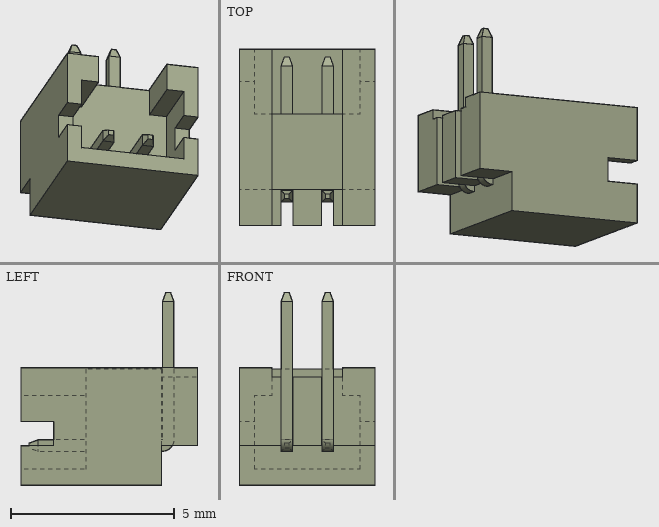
import cadquery as cq


width = 4.15
depth = 5.4
housing_height = 3.6
step_depth = 1.1
step_height = 1.215

wall = 0.99
channel_width = width - 2 * wall
block_top = 3.56
shelf_top = 3.31

socket_front = 3.405
socket_floor = 0.5
side_recess = 0.535
recess_top = 2.75
notch_depth = 1.0
notch_top = 1.945

pin_size = 0.355
pin_pitch = 1.25
pin_top = 5.9
pin_front = 0.72
pin_back = pin_front + pin_size
pin_bottom = 1.04
pin_rear = 5.155
taper_length = 0.285
tip_size = 0.15
slot_clearance = 0.01


def box(x_range, y_range, z_range):
    """Make a box from its limits along each axis."""
    sizes = [high - low for low, high in (x_range, y_range, z_range)]
    corner = (x_range[0], y_range[0], z_range[0])
    return cq.Workplane("XY").box(*sizes, centered=False).translate(corner)


def centred_box(x_size, y_range, z_range):
    """Make a box centred across the width."""
    return box((-x_size / 2, x_size / 2), y_range, z_range)


def make_housing():
    body = centred_box(width, (0, depth), (0, housing_height))
    body = body.cut(centred_box(width, (0, step_depth), (0, step_height)))

    body = body.cut(centred_box(channel_width, (0, depth), (block_top, housing_height)))
    body = body.cut(centred_box(channel_width, (0, step_depth), (shelf_top, housing_height)))

    socket = (socket_front, depth)
    body = body.cut(centred_box(channel_width, socket, (socket_floor, housing_height)))
    recess_width = channel_width + 2 * side_recess
    body = body.cut(centred_box(recess_width, socket, (socket_floor, recess_top)))

    body = body.cut(centred_box(width, (depth - notch_depth, depth), (step_height, notch_top)))

    slot_outer = (pin_pitch + pin_size) / 2
    slot_inner = slot_outer - pin_size - slot_clearance
    for x_range in ((-slot_outer, -slot_inner), (slot_inner, slot_outer)):
        body = body.cut(box(x_range, (0, step_depth), (step_height, housing_height)))
    return body


def taper(plane):
    """Make a square pin tip that narrows along the plane's normal."""
    return (
        cq.Workplane(plane)
        .rect(pin_size, pin_size)
        .workplane(offset=taper_length)
        .rect(tip_size, tip_size)
        .loft(ruled=True)
    )


def make_pin(x):
    upright_end = pin_top - taper_length
    level_end = pin_rear - taper_length
    legs = (
        cq.Workplane("YZ", origin=(x - pin_size / 2, 0, 0))
        .moveTo(pin_front, upright_end)
        .lineTo(pin_back, upright_end)
        .lineTo(pin_back, pin_bottom + pin_size)
        .lineTo(level_end, pin_bottom + pin_size)
        .lineTo(level_end, pin_bottom)
        .lineTo(pin_back, pin_bottom)
        .radiusArc((pin_front, pin_bottom + pin_size), pin_size)
        .close()
        .extrude(pin_size)
    )
    upright_centre = (x, pin_front + pin_size / 2, upright_end)
    level_centre = (x, level_end, pin_bottom + pin_size / 2)
    upper_tip = taper(cq.Plane(upright_centre, xDir=(1, 0, 0), normal=(0, 0, 1)))
    rear_tip = taper(cq.Plane(level_centre, xDir=(1, 0, 0), normal=(0, 1, 0)))
    return legs.union(upper_tip).union(rear_tip)


result = make_housing()
for pin_x in (-pin_pitch / 2, pin_pitch / 2):
    result = result.union(make_pin(pin_x))